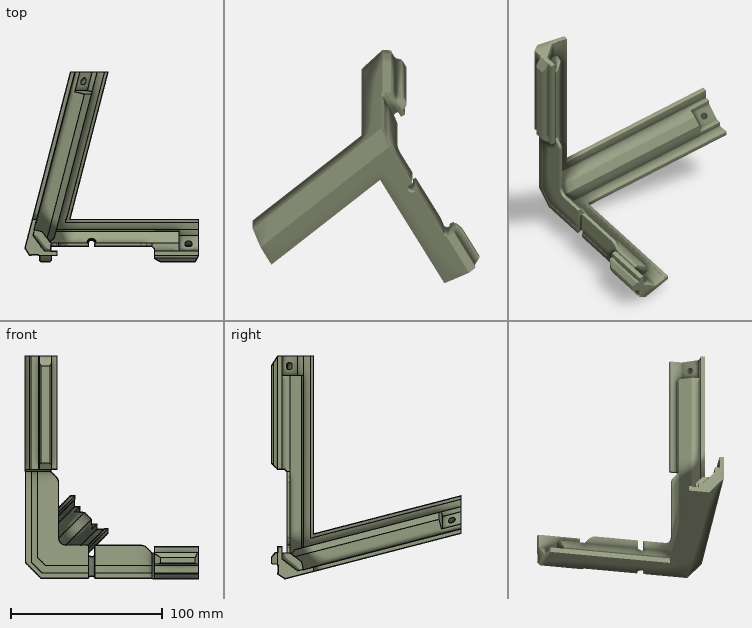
import cadquery as cq
import math


UPRIGHT_LENGTH = 147.03
LEVEL_LENGTH = 114.56
OBLIQUE_END_Y = 125.25

LEAN = math.tan(math.radians(14.5))
APEX_Y = 9.1
WALL = 2.8
LEDGE_WALL = 3.15
RIM_WALL = 3.1
WALL_BACK_Y = 27.95
RIM_START_Y = 25.8
CORNER_CUT = 10.4

PLATE_FRONT_Y = 10.2
PLATE_BACK_Y = 12.4
PLATE_WIDTH = 22.2
PLATE_FILLET = 5.0

FILL_WIDTH = 17.2
FILL_TOP_Y = 19.9
FILL_TOP_OFFSET = 11.3
FILL_BACK_Y = 21.2
TIP_FILL_Y = 17.4
TIP_FILL_WIDTH = 13.05
TIP_LENGTH = 13.0

UPRIGHT_RAIL_START = 72.3
LEVEL_RAIL_START = 85.35
RAIL_STEP = 1.6
RAIL_FRONT_Y = 4.15
FACET_OFFSET = 3.1
FLANGE_WIDTH = 21.2
FLANGE_BACK_Y = 7.1
KEY_BASE = 9.73

GROOVE_DEPTH = 0.4
GROOVE_NEAR = 3.85
GROOVE_FAR = 8.85
UPRIGHT_GROOVE_NEAR = 4.4
UPRIGHT_GROOVE_FAR = 8.4
GROOVE_NEAR_CUT = 15.2
GROOVE_FAR_CUT = 22.4

RIM_REACH = 24.8
RIM_START = 22.5
SHELF_REACH = 17.6
SLOPE_START = 13.0
LEDGE_REACH = 6.2
LEDGE_BASE = 14.3
OBLIQUE_FILL_END_Y = 112.2

PIN_HOLE = 4.6
PIN_DEPTH = 5.0
PIN_FROM_END = 6.65
PIN_Y = 11.95
OBLIQUE_PIN_Y = 119.1

SLOT_X = 44.0
SLOT_WIDTH = 4.0
PASSAGE_HOLE = 4.6
PASSAGE_TILT = 3.0
PASSAGE_Y = 11.8
PASSAGE_CHAMFER = 0.7

MARGIN = 10.0
OBLIQUE_AXIS = cq.Vector(LEAN, 1, LEAN)


def lean_at(y):
    return LEAN * (y - APEX_Y)


def wall_point(y, thickness=0.0):
    return (lean_at(y) + thickness, y)


def upright_prism(points, start, end):
    """Extrude an (x, y) outline from z = start to z = end."""
    return cq.Workplane("XY").workplane(offset=start).polyline(points).close().extrude(end - start)


def front_prism(points, front_y, back_y):
    """Extrude an (x, z) outline from y = front_y to y = back_y."""
    return cq.Workplane("XZ", origin=(0, back_y, 0)).polyline(points).close().extrude(back_y - front_y)


def oblique_prism(points, start_y, end_y):
    """Slide an outline of wall-face distances along the oblique arm."""
    shift = lean_at(start_y)
    wire = cq.Wire.makePolygon([cq.Vector(p + shift, start_y, q + shift) for p, q in points], close=True)
    return cq.Workplane(cq.Solid.extrudeLinear(wire, [], OBLIQUE_AXIS * (end_y - start_y)))


def to_level(body):
    """Swap X and Z, turning upright geometry into level geometry."""
    return body.mirror((1, 0, -1))


def arm_body(length, rail_start):
    """Upright arm with its wall, fillers, flange and step, but no key."""
    wall = upright_prism(
        [
            wall_point(PLATE_FRONT_Y),
            wall_point(PLATE_FRONT_Y, WALL),
            wall_point(WALL_BACK_Y, WALL),
            wall_point(WALL_BACK_Y),
        ],
        0,
        length,
    )
    rim = upright_prism(
        [
            wall_point(RIM_START_Y),
            wall_point(RIM_START_Y, RIM_WALL),
            wall_point(WALL_BACK_Y, RIM_WALL),
            wall_point(WALL_BACK_Y),
        ],
        RIM_START + lean_at(RIM_START_Y),
        length,
    )
    fill_points = [
        (FILL_WIDTH, PLATE_BACK_Y),
        (FILL_TOP_OFFSET, FILL_TOP_Y),
        wall_point(FILL_BACK_Y, WALL),
        wall_point(FILL_BACK_Y),
    ]
    fill_end = length - TIP_LENGTH
    fill = upright_prism([wall_point(PLATE_FRONT_Y), (FILL_WIDTH, PLATE_FRONT_Y)] + fill_points, 0, fill_end)
    rail_fill = upright_prism(
        [wall_point(APEX_Y), (FACET_OFFSET, RAIL_FRONT_Y), (FILL_WIDTH, RAIL_FRONT_Y)] + fill_points,
        rail_start,
        fill_end,
    )
    rail = upright_prism(
        [
            wall_point(APEX_Y),
            (FACET_OFFSET, RAIL_FRONT_Y),
            (FLANGE_WIDTH, RAIL_FRONT_Y),
            (FLANGE_WIDTH, FLANGE_BACK_Y),
            (TIP_FILL_WIDTH, FLANGE_BACK_Y),
            wall_point(TIP_FILL_Y, LEDGE_WALL),
            wall_point(FILL_BACK_Y, LEDGE_WALL),
            wall_point(FILL_BACK_Y),
        ],
        rail_start,
        length,
    )
    step = (
        cq.Workplane("YZ")
        .polyline(
            [
                (PLATE_FRONT_Y, rail_start - RAIL_STEP),
                (PLATE_FRONT_Y - RAIL_STEP, rail_start),
                (PLATE_FRONT_Y, rail_start),
            ]
        )
        .close()
        .extrude(FILL_WIDTH)
    )
    body = wall.union(rim).union(fill).union(rail_fill).union(rail).union(step)
    groove = cq.Workplane("XY").box(
        GROOVE_FAR - GROOVE_NEAR, GROOVE_DEPTH, length - rail_start, centered=False
    )
    body = body.cut(groove.translate((GROOVE_NEAR, RAIL_FRONT_Y, rail_start)))
    return body.cut(arm_pin_hole(length))


def arm_pin_hole(length):
    """Blind hole square to the sloping face at the arm's tip."""
    back_x, back_y = wall_point(TIP_FILL_Y, LEDGE_WALL)
    across = TIP_FILL_WIDTH - back_x
    along = back_y - FLANGE_BACK_Y
    center_x = TIP_FILL_WIDTH - across * (PIN_Y - FLANGE_BACK_Y) / along
    inward = cq.Vector(-along, -across, 0)
    center = cq.Vector(center_x, PIN_Y, length - PIN_FROM_END)
    return cq.Workplane(cq.Solid.makeCylinder(PIN_HOLE / 2, PIN_DEPTH, center, inward))


def upright_key():
    """Key on the upright rail, bevelled along its sides and at both ends."""
    left = KEY_BASE
    right = 17.7
    left_bevel = 0.9
    right_bevel = 1.3
    bottom_slope = 4.1
    top_slope = 6.6
    section = upright_prism(
        [
            (left, RAIL_FRONT_Y),
            (left, left_bevel),
            (left + left_bevel, 0),
            (right - right_bevel, 0),
            (right, right_bevel),
            (right, RAIL_FRONT_Y),
        ],
        UPRIGHT_RAIL_START,
        UPRIGHT_LENGTH,
    )
    profile = (
        cq.Workplane("YZ")
        .polyline(
            [
                (RAIL_FRONT_Y, UPRIGHT_RAIL_START),
                (0, UPRIGHT_RAIL_START + bottom_slope),
                (0, UPRIGHT_LENGTH - top_slope),
                (RAIL_FRONT_Y, UPRIGHT_LENGTH),
            ]
        )
        .close()
        .extrude(FLANGE_WIDTH)
    )
    return section.intersect(profile)


def level_key():
    """Key on the level rail, with a long upper slope and sloping ends."""
    bottom_bevel = 0.8
    slope_low_z = 14.1
    slope_high_z = 17.25
    slope_y = 2.5
    start_y = 2.2
    start_slope = 4.0
    end_slope = 2.2
    section = (
        cq.Workplane("YZ", origin=(LEVEL_RAIL_START, 0, 0))
        .polyline(
            [
                (RAIL_FRONT_Y, KEY_BASE),
                (bottom_bevel, KEY_BASE),
                (0, KEY_BASE + bottom_bevel),
                (0, slope_low_z),
                (slope_y, slope_high_z),
                (RAIL_FRONT_Y, slope_high_z),
            ]
        )
        .close()
        .extrude(LEVEL_LENGTH - LEVEL_RAIL_START)
    )
    profile = upright_prism(
        [
            (LEVEL_RAIL_START, RAIL_FRONT_Y),
            (LEVEL_RAIL_START, start_y),
            (LEVEL_RAIL_START + start_slope, 0),
            (LEVEL_LENGTH - end_slope, 0),
            (LEVEL_LENGTH, RAIL_FRONT_Y),
        ],
        0,
        FLANGE_WIDTH,
    )
    return section.intersect(profile)


def front_plate():
    """L-shaped plate with tapered ends and a rounded inner corner."""
    top = UPRIGHT_RAIL_START - RAIL_STEP
    end = LEVEL_RAIL_START - RAIL_STEP
    taper = PLATE_WIDTH - FILL_WIDTH
    plate = front_prism(
        [
            (0, 0),
            (end, 0),
            (end, FILL_WIDTH),
            (end - taper, PLATE_WIDTH),
            (PLATE_WIDTH, PLATE_WIDTH),
            (PLATE_WIDTH, top - taper),
            (FILL_WIDTH, top),
            (0, top),
        ],
        PLATE_FRONT_Y,
        PLATE_BACK_Y,
    )
    rounded = [(end - taper, PLATE_WIDTH), (PLATE_WIDTH, PLATE_WIDTH), (PLATE_WIDTH, top - taper)]
    for x, z in rounded:
        corner = cq.selectors.NearestToPointSelector((x, (PLATE_FRONT_Y + PLATE_BACK_Y) / 2, z))
        plate = plate.edges("|Y").edges(corner).fillet(PLATE_FILLET)
    return plate


def plate_groove():
    """Shallow groove following the plate round its cut corner."""
    top = UPRIGHT_RAIL_START - RAIL_STEP
    end = LEVEL_RAIL_START - RAIL_STEP
    return front_prism(
        [
            (UPRIGHT_GROOVE_NEAR, top),
            (UPRIGHT_GROOVE_NEAR, GROOVE_NEAR_CUT - UPRIGHT_GROOVE_NEAR),
            (GROOVE_NEAR_CUT - GROOVE_NEAR, GROOVE_NEAR),
            (end, GROOVE_NEAR),
            (end, GROOVE_FAR),
            (GROOVE_FAR_CUT - GROOVE_FAR, GROOVE_FAR),
            (UPRIGHT_GROOVE_FAR, GROOVE_FAR_CUT - UPRIGHT_GROOVE_FAR),
            (UPRIGHT_GROOVE_FAR, top),
        ],
        PLATE_FRONT_Y,
        PLATE_FRONT_Y + GROOVE_DEPTH,
    )


def oblique_arm():
    """Two walls at the corner, backed by a filler that stops short of the end."""
    walls = oblique_prism(
        [(0, 0), (RIM_REACH, 0), (RIM_REACH, WALL), (WALL, WALL), (WALL, RIM_REACH), (0, RIM_REACH)],
        PLATE_FRONT_Y,
        OBLIQUE_END_Y,
    )
    upper_rim = oblique_prism(
        [(0, RIM_START), (RIM_WALL, RIM_START), (RIM_WALL, RIM_REACH), (0, RIM_REACH)],
        RIM_START_Y,
        OBLIQUE_END_Y,
    )
    tip_fill = oblique_prism(
        [
            (0, 0),
            (SHELF_REACH, 0),
            (SHELF_REACH, LEDGE_REACH),
            (LEDGE_BASE, LEDGE_REACH),
            (LEDGE_REACH, LEDGE_BASE),
            (LEDGE_REACH, SHELF_REACH),
            (0, SHELF_REACH),
        ],
        PLATE_FRONT_Y,
        OBLIQUE_END_Y,
    )
    fill = oblique_prism(
        [(0, 0), (SHELF_REACH, 0), (SHELF_REACH, SLOPE_START), (SLOPE_START, SHELF_REACH), (0, SHELF_REACH)],
        PLATE_FRONT_Y,
        OBLIQUE_END_Y,
    )
    shift = lean_at(OBLIQUE_FILL_END_Y)
    end_plane = cq.Plane(
        origin=(LEDGE_REACH + shift, OBLIQUE_FILL_END_Y, SHELF_REACH + shift),
        xDir=(1, 0, -1),
        normal=OBLIQUE_AXIS,
    )
    beyond = cq.Workplane(end_plane).rect(OBLIQUE_END_Y, OBLIQUE_END_Y).extrude(OBLIQUE_END_Y)
    arm = walls.union(upper_rim).union(to_level(upper_rim)).union(tip_fill).union(fill.cut(beyond))
    return arm.cut(oblique_pin_hole())


def oblique_pin_hole():
    """Blind hole square to the sloping face at the oblique arm's tip."""
    center_offset = (LEDGE_REACH + LEDGE_BASE) / 2 + lean_at(OBLIQUE_PIN_Y)
    center = cq.Vector(center_offset, OBLIQUE_PIN_Y, center_offset)
    inward = cq.Vector(-1, 2 * LEAN, -1)
    return cq.Workplane(cq.Solid.makeCylinder(PIN_HOLE / 2, PIN_DEPTH, center, inward))


def corner_envelope():
    """Everything inside the two outer wall faces and the corner cut."""
    reach = 2 * UPRIGHT_LENGTH
    return oblique_prism(
        [(CORNER_CUT, 0), (reach, 0), (reach, reach), (0, reach), (0, CORNER_CUT)],
        -MARGIN,
        OBLIQUE_END_Y,
    )


def cord_passage():
    """Slightly tilted hole with a slot opening it to the front."""
    tilt = math.radians(PASSAGE_TILT)
    axis = cq.Vector(0, math.sin(tilt), math.cos(tilt))
    start = cq.Vector(SLOT_X, PASSAGE_Y, 0) - axis * MARGIN
    height = PLATE_WIDTH + 2 * MARGIN
    bore = cq.Workplane(cq.Solid.makeCylinder(PASSAGE_HOLE / 2, height, start, axis))
    slot = cq.Workplane("XY").box(SLOT_WIDTH, PLATE_BACK_Y, height, centered=(True, False, False))
    return bore.union(slot.translate((SLOT_X, 0, -MARGIN)))


def chamfer_passage(part):
    """Break the curved edges where the passage meets the wall and the filler."""
    middle_y = PASSAGE_Y + PASSAGE_HOLE / 2
    lower = cq.selectors.NearestToPointSelector((SLOT_X, middle_y, lean_at(middle_y)))
    upper = cq.selectors.NearestToPointSelector((SLOT_X, middle_y, FILL_WIDTH))
    for mouth in (lower, upper):
        part = part.edges(mouth).chamfer(PASSAGE_CHAMFER)
    return part


upright = arm_body(UPRIGHT_LENGTH, UPRIGHT_RAIL_START)
level = to_level(arm_body(LEVEL_LENGTH, LEVEL_RAIL_START))
body = upright.union(level).union(front_plate()).union(oblique_arm())
body = body.intersect(corner_envelope())
body = body.union(upright_key()).union(level_key())
result = chamfer_passage(body.cut(plate_groove()).cut(cord_passage()))